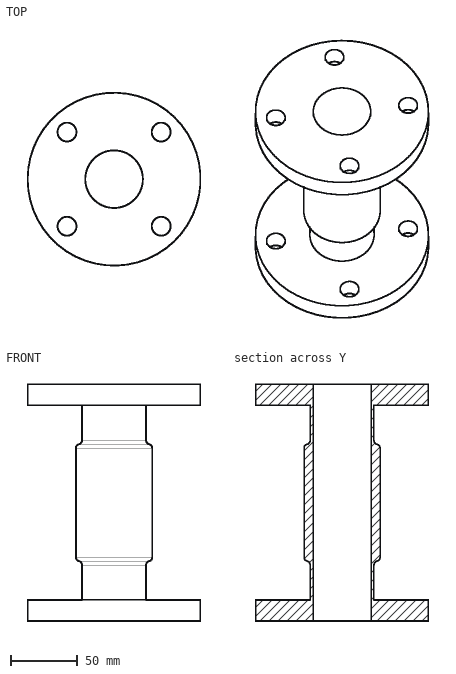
import cadquery as cq
import math

overall_length = 178.0
flange_diameter = 130.0
flange_thickness = 16.0
bolt_hole_diameter = 14.0
bolt_circle_diameter = 100.0
bolt_count = 4
first_bolt_angle = 45.0

pipe_diameter = 48.3
pipe_wall = 2.6
bore_diameter = pipe_diameter - 2 * pipe_wall

sleeve_diameter = 57.5
sleeve_straight_length = 82.0
shoulder_radius = 3.0

flange_radius = flange_diameter / 2
pipe_radius = pipe_diameter / 2
sleeve_radius = sleeve_diameter / 2
half_length = overall_length / 2
flange_inner_z = half_length - flange_thickness

shoulder_sweep = math.acos(1 - (sleeve_radius - pipe_radius) / (2 * shoulder_radius))
shoulder_start_z = sleeve_straight_length / 2
shoulder_middle_z = shoulder_start_z + shoulder_radius * math.sin(shoulder_sweep)
shoulder_end_z = 2 * shoulder_middle_z - shoulder_start_z
shoulder_middle_radius = (sleeve_radius + pipe_radius) / 2


def arc_point(sweep):
    """Radial drop and axial rise after turning through sweep on a shoulder arc."""
    drop = shoulder_radius * (1 - math.cos(sweep))
    rise = shoulder_radius * math.sin(sweep)
    return drop, rise


def make_body():
    """Solid of revolution; its outline lies on the -X side and runs from bottom to top."""
    drop, rise = arc_point(shoulder_sweep / 2)
    return (
        cq.Workplane("XZ")
        .moveTo(0, -half_length)
        .lineTo(-flange_radius, -half_length)
        .lineTo(-flange_radius, -flange_inner_z)
        .lineTo(-pipe_radius, -flange_inner_z)
        .lineTo(-pipe_radius, -shoulder_end_z)
        .threePointArc(
            (-pipe_radius - drop, -shoulder_end_z + rise),
            (-shoulder_middle_radius, -shoulder_middle_z),
        )
        .threePointArc(
            (-sleeve_radius + drop, -shoulder_start_z - rise),
            (-sleeve_radius, -shoulder_start_z),
        )
        .lineTo(-sleeve_radius, shoulder_start_z)
        .threePointArc(
            (-sleeve_radius + drop, shoulder_start_z + rise),
            (-shoulder_middle_radius, shoulder_middle_z),
        )
        .threePointArc(
            (-pipe_radius - drop, shoulder_end_z - rise),
            (-pipe_radius, shoulder_end_z),
        )
        .lineTo(-pipe_radius, flange_inner_z)
        .lineTo(-flange_radius, flange_inner_z)
        .lineTo(-flange_radius, half_length)
        .lineTo(0, half_length)
        .close()
        .revolve(360, (0, 0, 0), (0, 1, 0))
    )


def make_bore():
    """Through passage along the axis."""
    return (
        cq.Workplane("XY")
        .workplane(offset=-half_length)
        .circle(bore_diameter / 2)
        .extrude(overall_length)
    )


def make_bolt_holes():
    """Bolt holes running through both flanges."""
    return (
        cq.Workplane("XY")
        .workplane(offset=-half_length)
        .polarArray(bolt_circle_diameter / 2, first_bolt_angle, 360, bolt_count)
        .circle(bolt_hole_diameter / 2)
        .extrude(overall_length)
    )


result = make_body().cut(make_bore()).cut(make_bolt_holes())